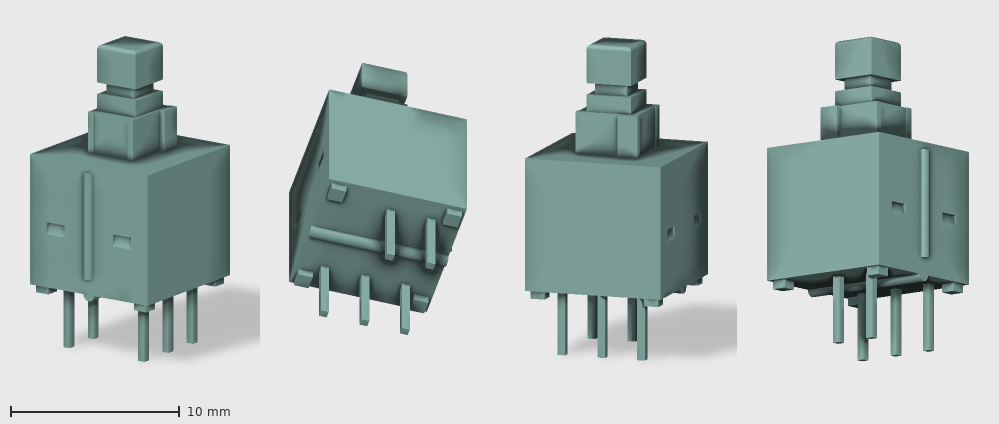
import cadquery as cq

case_width = 8.5
half_width = case_width / 2
base_height = 4.0
cover_height = 4.0

pin_length = 4.0
parting_z = pin_length + base_height
cover_top_z = parting_z + cover_height

tongue_depth = 0.28
tongue_neck_width = 3.5
tongue_foot_width = 6.09
tongue_foot_height = 1.78
base_sill_height = 0.28
tongue_bottom_z = pin_length + base_sill_height
tongue_foot_top_z = tongue_bottom_z + tongue_foot_height
catch_height = 1.2
catch_top_z = tongue_foot_top_z + catch_height
catch_width = (tongue_foot_width - tongue_neck_width) / 2

rib_width = 0.61
rib_protrusion = 0.31
rib_length = 6.5
rib_top_margin = 0.5

foot_size = 0.89
foot_height = 0.5
foot_inset_x = 0.25
foot_inset_y = 0.24
ridge_radius = 0.39

pin_thickness_x = 0.45
pin_thickness_y = 0.48
pin_x = 2.7
pin_pitch_y = 2.5
pin_row_offset_y = 0.05

slider_height = 2.5
slider_size = 4.0
slider_stem_width = 3.27
slider_head_length = 1.24
slider_relief_depth = 0.107
slider_front_relief_width = 2.45
slider_rear_relief_width = 3.0
button_width = 2.8
collar_height = 1.0
neck_width = 2.0
neck_height = 0.7
total_height = 18.5
button_height = total_height - cover_top_z - slider_height - collar_height - neck_height
button_edge_radius = 0.25


def block(size_x, size_y, bottom_z, height, x=0, y=0):
    """A box centred on (x, y) that stands on bottom_z."""
    return cq.Workplane("XY").box(size_x, size_y, height, (True, True, False)).translate((x, y, bottom_z))


def snap_tongue(side):
    """Inverted-T tongue flush with the case wall on the side (-1 front, 1 rear)."""
    y = side * (half_width - tongue_depth / 2)
    neck = block(tongue_neck_width, tongue_depth, tongue_bottom_z, parting_z - tongue_bottom_z, y=y)
    foot = block(tongue_foot_width, tongue_depth, tongue_bottom_z, tongue_foot_height, y=y)
    return neck.union(foot)


def catch_ramps(side):
    """Wedges of space that slope down to the outer edges of the two catches on one side."""
    wall_y = side * half_width
    ramp_profile = [
        (wall_y, catch_top_z),
        (wall_y, parting_z),
        (wall_y - side * tongue_depth, parting_z),
    ]
    ramp_start_x = -tongue_foot_width / 2
    ramp = cq.Workplane("YZ", origin=(ramp_start_x, 0, 0)).polyline(ramp_profile).close().extrude(catch_width)
    return ramp.union(ramp.mirror("YZ"))


def make_cover():
    cover = block(case_width, case_width, parting_z, cover_height)
    for side in (-1, 1):
        cover = cover.union(snap_tongue(side))
    rib_bottom_z = cover_top_z - rib_top_margin - rib_length
    rib = (
        cq.Workplane("XY", origin=(0, -half_width, rib_bottom_z))
        .moveTo(-rib_width / 2, 0)
        .threePointArc((0, -rib_protrusion), (rib_width / 2, 0))
        .close()
        .extrude(rib_length)
    )
    return cover.union(rib)


def make_base():
    base = block(case_width, case_width, pin_length, base_height)
    for side in (-1, 1):
        base = base.cut(snap_tongue(side)).cut(catch_ramps(side))
    foot_x = half_width - foot_inset_x - foot_size / 2
    foot_y = half_width - foot_inset_y - foot_size / 2
    for x in (-foot_x, foot_x):
        for y in (-foot_y, foot_y):
            base = base.union(block(foot_size, foot_size, pin_length - foot_height, foot_height, x, y))
    ridge = (
        cq.Workplane("XZ", origin=(0, half_width, pin_length))
        .moveTo(-ridge_radius, 0)
        .threePointArc((0, -ridge_radius), (ridge_radius, 0))
        .close()
        .extrude(case_width)
    )
    return base.union(ridge)


def make_slider():
    """T section with its wide head at the rear and a shallow relief in the front and rear faces."""
    stem = block(slider_stem_width, slider_size, cover_top_z, slider_height)
    head_y = (slider_size - slider_head_length) / 2
    head = block(slider_size, slider_head_length, cover_top_z, slider_height, y=head_y)
    slider = stem.union(head)
    relief_y = (slider_size - slider_relief_depth) / 2
    for width, y in ((slider_front_relief_width, -relief_y), (slider_rear_relief_width, relief_y)):
        slider = slider.cut(block(width, slider_relief_depth, cover_top_z, slider_height, y=y))
    return slider


def make_plunger():
    collar_z = cover_top_z + slider_height
    neck_z = collar_z + collar_height
    button_z = neck_z + neck_height
    collar = block(button_width, button_width, collar_z, collar_height)
    neck = block(neck_width, neck_width, neck_z, neck_height)
    button = block(button_width, button_width, button_z, button_height)
    button = button.faces(">Z").edges().fillet(button_edge_radius)
    return make_slider().union(collar).union(neck).union(button)


def make_pin(side, row):
    """Pin on the side (-1 or 1 along X) in the row (-1 front, 0 middle, 1 rear)."""
    y = pin_row_offset_y + row * pin_pitch_y
    return block(pin_thickness_x, pin_thickness_y, 0, pin_length, side * pin_x, y)


cover = make_cover()
base = make_base()
plunger = make_plunger()
pin_places = [(-1, -1), (-1, 0), (1, -1), (1, 0), (1, 1)]
pins = [make_pin(side, row).val() for side, row in pin_places]

result = cq.Compound.makeCompound([cover.val(), base.val(), plunger.val(), *pins])